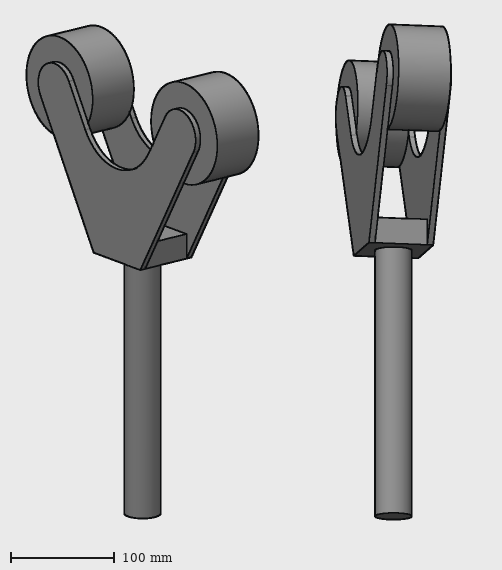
import cadquery as cq
import math

roller_diameter = 101.5
overall_width = 292.0
overall_height = 463.5
roller_x = (overall_width - roller_diameter) / 2
roller_z = overall_height - roller_diameter / 2

overall_depth = 63.5
plate_thickness = 6.0
gap = overall_depth - 2 * plate_thickness
plate_bottom_z = 261.0
plate_bottom_width = 71.5
arm_radius = 25.0
saddle_bottom_z = 354.5

stem_diameter = 35.5
spacer_height = 25.0


def extrude_along_y(profile, depth):
    """Extrude an XZ profile symmetrically about the Y = 0 plane."""
    return profile.extrude(depth / 2, both=True)


def plate_outline():
    """V-shaped outline with round arm ends and a round saddle between the arms."""
    corner_x = plate_bottom_width / 2
    run = roller_x - corner_x
    rise = roller_z - plate_bottom_z
    edge_angle = math.atan2(rise, run) - math.asin(arm_radius / math.hypot(run, rise))
    edge_x = math.cos(edge_angle)
    edge_z = math.sin(edge_angle)
    outer_x = roller_x + arm_radius * edge_z
    outer_z = roller_z - arm_radius * edge_x
    inner_x = roller_x - arm_radius * edge_z
    inner_z = roller_z + arm_radius * edge_x
    tip_x = roller_x + arm_radius * edge_x
    tip_z = roller_z + arm_radius * edge_z

    bottom_to_edge = inner_x * edge_z - (inner_z - saddle_bottom_z) * edge_x
    saddle_radius = bottom_to_edge / (1 - edge_x)
    saddle_end_x = saddle_radius * edge_z
    saddle_end_z = saddle_bottom_z + saddle_radius * (1 - edge_x)

    return (
        cq.Workplane("XZ")
        .moveTo(-corner_x, plate_bottom_z)
        .lineTo(corner_x, plate_bottom_z)
        .lineTo(outer_x, outer_z)
        .threePointArc((tip_x, tip_z), (inner_x, inner_z))
        .lineTo(saddle_end_x, saddle_end_z)
        .threePointArc((0, saddle_bottom_z), (-saddle_end_x, saddle_end_z))
        .lineTo(-inner_x, inner_z)
        .threePointArc((-tip_x, tip_z), (-outer_x, outer_z))
        .close()
    )


def make_fork():
    solid_fork = extrude_along_y(plate_outline(), overall_depth)
    space_between_plates = extrude_along_y(plate_outline(), gap)
    return solid_fork.cut(space_between_plates)


def make_rollers():
    centers = [(-roller_x, roller_z), (roller_x, roller_z)]
    return extrude_along_y(cq.Workplane("XZ").pushPoints(centers).circle(roller_diameter / 2), gap)


def make_spacer():
    base = cq.Workplane("XY").workplane(offset=plate_bottom_z)
    return base.rect(plate_bottom_width, gap).extrude(spacer_height)


def make_stem():
    return cq.Workplane("XY").circle(stem_diameter / 2).extrude(plate_bottom_z)


result = make_fork().union(make_rollers()).union(make_spacer()).union(make_stem())